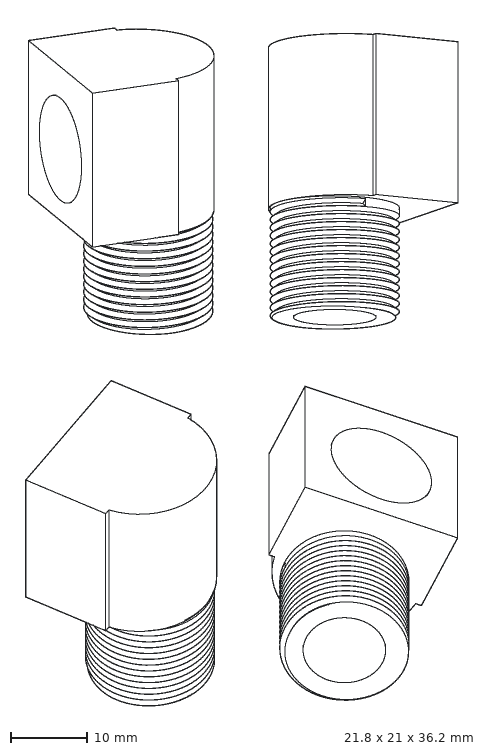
import cadquery as cq

total_height = 36.15
body_width = 21.75
body_height = 21.55
back_radius = 10.15
block_back_y = 1.37
front_y = -body_width / 2
body_bottom_z = total_height - body_height

stem_radius = 8.5
stem_y = 1.63
thread_pitch = 1.07
groove_width = 1.03
groove_depth = 0.75
groove_overcut = 0.18
groove_end_z = body_bottom_z - 0.7
groove_turns = 14
boolean_tolerance = 0.001

port_z = 24.6
port_mouth_radius = 7.15
port_inner_radius = 6.85
port_depth = 16.85
passage_radius = 5.42
passage_top_z = 22.85


def make_body():
    block_depth = block_back_y - front_y
    block = cq.Workplane("XY").box(body_width, block_depth, body_height, centered=(True, False, False))
    block = block.translate((0, front_y, body_bottom_z))
    back = cq.Workplane("XY").workplane(offset=body_bottom_z).circle(back_radius).extrude(body_height)
    return block.union(back)


def make_groove():
    """Right-handed V groove about the Z axis, ending abruptly on the -X side."""
    groove_height = groove_turns * thread_pitch
    groove_start_z = groove_end_z - groove_height
    root_radius = stem_radius - groove_depth
    outer_radius = stem_radius + groove_overcut
    half_width = groove_width / 2
    profile_points = [
        (root_radius, 0),
        (stem_radius, half_width),
        (outer_radius, half_width),
        (outer_radius, -half_width),
        (stem_radius, -half_width),
    ]
    helix = cq.Workplane(obj=cq.Wire.makeHelix(thread_pitch, groove_height, stem_radius))
    groove = cq.Workplane("XZ").polyline(profile_points).close().sweep(helix, isFrenet=True)
    return groove.rotate((0, 0, 0), (0, 0, 1), 180).translate((0, 0, groove_start_z))


def make_stem():
    stem = cq.Workplane("XY").circle(stem_radius).extrude(body_bottom_z)
    return stem.cut(make_groove(), tol=boolean_tolerance).translate((0, stem_y, 0))


def make_port():
    port = cq.Solid.makeCone(
        port_mouth_radius,
        port_inner_radius,
        port_depth,
        pnt=cq.Vector(0, front_y, port_z),
        dir=cq.Vector(0, 1, 0),
    )
    return cq.Workplane(obj=port)


def make_passage():
    return cq.Workplane("XY").center(0, stem_y).circle(passage_radius).extrude(passage_top_z)


result = make_body().union(make_stem()).cut(make_port()).cut(make_passage())